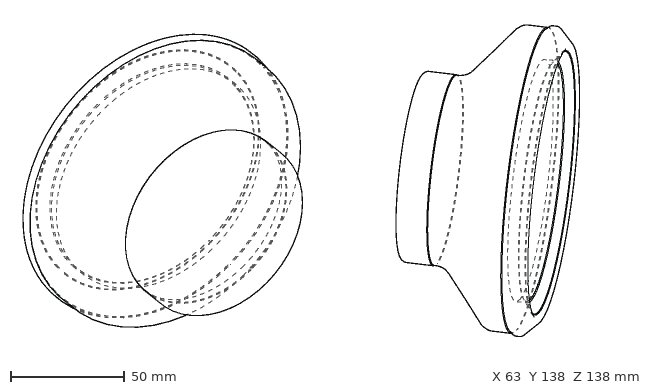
import cadquery as cq
import math

total_length = 63.0

ring_radius = 69.0
ring_joint_x = 10.3
ring_joint_radius = 67.6
ring_back_x = 8.8
rim_round = 1.2
nose_outer_radius = 62.5
nose_inner_radius = 60.4
nose_inner_round = 1.1
nose_outer_round = 1.1
ring_bore_radius = 53.8
groove_outer_radius = 58.8
groove_inner_radius = 58.4
dish_radius = 53.3
dish_depth = 5.7

flange_radius = 136.0 / 2
flange_edge = 0.4
shoulder_x = 19.2
shoulder_round = 5.5
taper_angle = math.radians(50)
neck_fillet = 9.7
neck_radius = 84.6 / 2
neck_land = 0.5
knob_radius = 85.0 / 2
knob_front_edge = 0.4
knob_back_round = 2.2

dish_slope = dish_depth / (nose_inner_radius - dish_radius)


def dish_x(radius):
    """Depth of the dish cone at the given radius."""
    return (nose_inner_radius - radius) * dish_slope


bore_start_x = dish_x(ring_bore_radius)


def revolve_about_x(profile):
    return profile.close().revolve(360, (0, 0, 0), (1, 0, 0))


def edge_at(x, radius):
    """Selector for the circular edge around the X axis at the given place."""
    margin = 0.01
    reach = radius + margin
    return cq.selectors.BoxSelector((x - margin, -reach, -reach), (x + margin, reach, reach), boundingbox=True)


def make_ring():
    rim_front_x = ring_radius - nose_outer_radius
    ring = revolve_about_x(
        cq.Workplane("XY")
        .moveTo(0, nose_inner_radius)
        .lineTo(0, nose_outer_radius)
        .lineTo(rim_front_x, ring_radius)
        .lineTo(ring_back_x, ring_radius)
        .lineTo(ring_joint_x, ring_joint_radius)
        .lineTo(ring_joint_x, ring_bore_radius)
        .lineTo(bore_start_x, ring_bore_radius)
        .lineTo(dish_x(groove_inner_radius), groove_inner_radius)
        .lineTo(dish_x(groove_inner_radius), groove_outer_radius)
        .lineTo(dish_x(groove_outer_radius), groove_outer_radius)
    )
    ring = ring.edges(edge_at(0, nose_inner_radius)).fillet(nose_inner_round)
    ring = ring.faces("<X").edges(cq.selectors.RadiusNthSelector(-1)).fillet(nose_outer_round)
    for x in (rim_front_x, ring_back_x):
        ring = ring.edges(edge_at(x, ring_radius)).fillet(rim_round)
    return ring


def make_housing():
    def arc_run(radius, angle):
        return radius * math.sin(angle)

    def arc_drop(radius, angle):
        return radius * (1 - math.cos(angle))

    half_angle = taper_angle / 2
    taper_start_x = shoulder_x + arc_run(shoulder_round, taper_angle)
    taper_start_radius = flange_radius - arc_drop(shoulder_round, taper_angle)
    taper_end_radius = neck_radius + arc_drop(neck_fillet, taper_angle)
    taper_end_x = taper_start_x + (taper_start_radius - taper_end_radius) / math.tan(taper_angle)
    neck_x = taper_end_x + arc_run(neck_fillet, taper_angle)
    knob_x = neck_x + neck_land

    shoulder_middle = (
        shoulder_x + arc_run(shoulder_round, half_angle),
        flange_radius - arc_drop(shoulder_round, half_angle),
    )
    neck_middle = (
        neck_x - arc_run(neck_fillet, half_angle),
        neck_radius + arc_drop(neck_fillet, half_angle),
    )

    housing = revolve_about_x(
        cq.Workplane("XY")
        .moveTo(dish_depth, 0)
        .lineTo(dish_depth, dish_radius)
        .lineTo(bore_start_x, ring_bore_radius)
        .lineTo(ring_joint_x, ring_bore_radius)
        .lineTo(ring_joint_x, flange_radius - flange_edge)
        .lineTo(ring_joint_x + flange_edge, flange_radius)
        .lineTo(shoulder_x, flange_radius)
        .threePointArc(shoulder_middle, (taper_start_x, taper_start_radius))
        .lineTo(taper_end_x, taper_end_radius)
        .threePointArc(neck_middle, (neck_x, neck_radius))
        .lineTo(knob_x, neck_radius)
        .lineTo(knob_x + knob_front_edge, knob_radius)
        .lineTo(total_length, knob_radius)
        .lineTo(total_length, 0)
    )
    return housing.faces(">X").edges().fillet(knob_back_round)


ring = make_ring()
housing = make_housing()
result = cq.Compound.makeCompound([ring.val(), housing.val()])